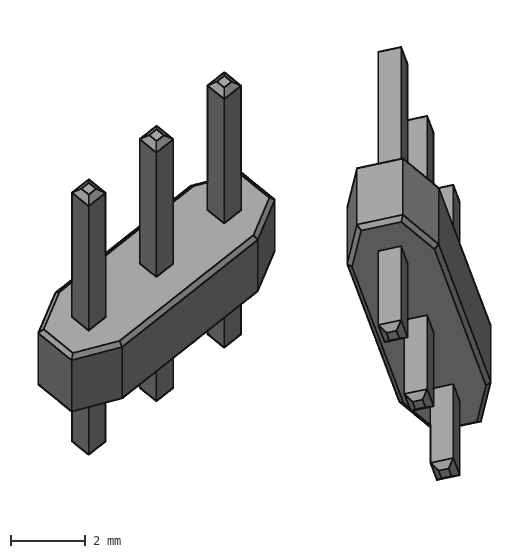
import cadquery as cq

pitch = 2.54
pin_count = 3

body_width = pitch
body_length = pin_count * pitch
body_height = pitch
corner_cut_x = pitch / 4
corner_cut_y = pitch / 2
body_chamfer = 0.127

pin_width = pitch / 4
pin_above = 5.715
pin_below = 3.175
pin_length = pin_below + body_height + pin_above
tip_chamfer = 0.178


def make_body():
    """Octagonal block with its top and bottom rims chamfered."""
    half_x = body_width / 2
    half_y = body_length / 2
    end_x = half_x - corner_cut_x
    side_y = half_y - corner_cut_y
    outline = [
        (end_x, -half_y),
        (half_x, -side_y),
        (half_x, side_y),
        (end_x, half_y),
        (-end_x, half_y),
        (-half_x, side_y),
        (-half_x, -side_y),
        (-end_x, -half_y),
    ]
    block = cq.Workplane("XY").polyline(outline).close().extrude(body_height)
    return block.faces("<Z or >Z").edges().chamfer(body_chamfer)


def make_pin(y):
    """Square pin at the given Y, with both tips chamfered."""
    pin = cq.Workplane("XY").box(pin_width, pin_width, pin_length, centered=(True, True, False))
    pin = pin.faces("<Z or >Z").edges().chamfer(tip_chamfer)
    return pin.translate((0, y, -pin_below))


result = make_body()
for index in range(pin_count):
    pin_y = (index - (pin_count - 1) / 2) * pitch
    result = result.union(make_pin(pin_y))